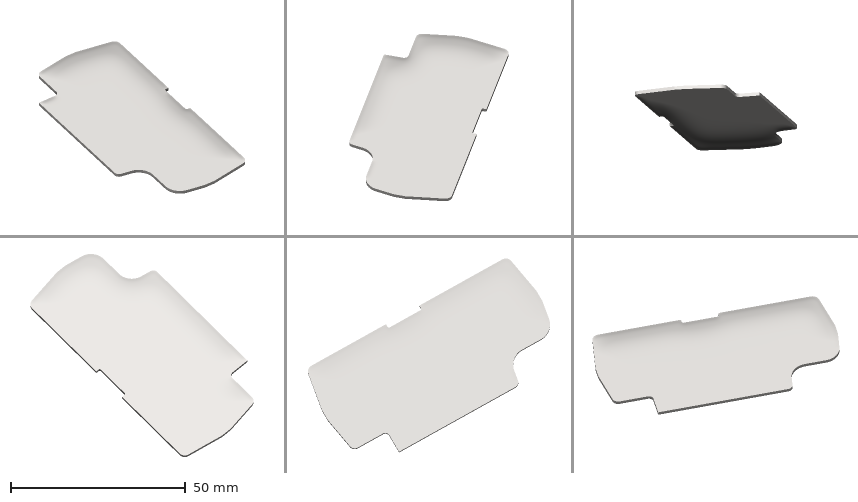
import cadquery as cq
import math

length = 70.65
width = 34.4
thickness = 1.0

half_length = length / 2
flat_top = 21.55
flat_bottom = 18.15
lean = math.tan(math.radians(9.7))

left_shelf = 6.9
right_shelf = 8.55
tongue_left = -22.25
tongue_right = 17.45

notch_left = -6.9
notch_right = 4.1
notch_floor = width - 1.35

notch_radius = 0.4
top_radius = 2.0
left_shelf_radius = 1.8
left_inner_radius = 1.3
tongue_radius = 1.55
shelf_radius = 5.0

top_corner = half_length - (width - flat_top) * lean
left_shelf_corner = half_length - (flat_bottom - left_shelf) * lean
right_shelf_corner = half_length - (flat_bottom - right_shelf) * lean
right_inner_corner = tongue_right + right_shelf * lean

corners = [
    (tongue_left, 0, 0),
    (tongue_right, 0, tongue_radius),
    (right_inner_corner, right_shelf, shelf_radius),
    (right_shelf_corner, right_shelf, shelf_radius),
    (half_length, flat_bottom, 0),
    (half_length, flat_top, 0),
    (top_corner, width, top_radius),
    (notch_right, width, 0),
    (notch_right, notch_floor, notch_radius),
    (notch_left, notch_floor, notch_radius),
    (notch_left, width, 0),
    (-top_corner, width, top_radius),
    (-half_length, flat_top, 0),
    (-half_length, flat_bottom, 0),
    (-left_shelf_corner, left_shelf, left_shelf_radius),
    (tongue_left, left_shelf, left_inner_radius),
]


def round_corner(plate, x, y, radius):
    """Fillet the vertical edge standing at (x, y)."""
    nearest = cq.selectors.NearestToPointSelector((x, y, thickness / 2))
    return plate.edges("|Z").edges(nearest).fillet(radius)


plate = cq.Workplane("XY").polyline([(x, y) for x, y, _ in corners]).close().extrude(thickness)

for x, y, radius in corners:
    if radius > 0:
        plate = round_corner(plate, x, y, radius)

result = plate